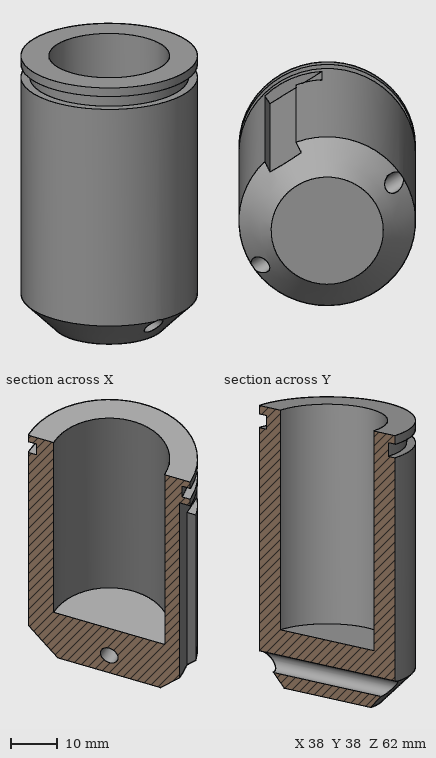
import cadquery as cq

height = 62.0
body_diameter = 38.0
bore_diameter = 26.0
groove_diameter = 34.2
rim_height = 2.0
groove_height = 3.0
cone_height = 6.95
pin_hole_diameter = 4.0
pin_hole_z = 5.1
slot_width = 8.0
slot_depth = 2.5
slot_top_offset = 7.0
slot_leg_height = 6.0

body_radius = body_diameter / 2
groove_radius = groove_diameter / 2
foot_radius = body_radius - cone_height
wall = (body_diameter - bore_diameter) / 2
bore_floor_z = cone_height + wall
groove_top_z = height - rim_height
groove_bottom_z = groove_top_z - groove_height
slot_top_z = height - slot_top_offset
slot_floor_y = body_radius - slot_depth


def turned_body():
    """Revolve the tapered body with its ring groove below the rim."""
    profile = [
        (0, 0),
        (foot_radius, 0),
        (body_radius, cone_height),
        (body_radius, groove_bottom_z),
        (groove_radius, groove_bottom_z),
        (groove_radius, groove_top_z),
        (body_radius, groove_top_z),
        (body_radius, height),
        (0, height),
    ]
    return cq.Workplane("XZ").polyline(profile).close().revolve(360, (0, 0), (0, 1))


def blind_bore():
    """Bore open at the top, with a flat floor above the taper."""
    return (
        cq.Workplane("XY", origin=(0, 0, bore_floor_z))
        .circle(bore_diameter / 2)
        .extrude(height - bore_floor_z)
    )


def pin_hole():
    """Cross hole along X through the solid foot."""
    return (
        cq.Workplane("YZ")
        .center(0, pin_hole_z)
        .circle(pin_hole_diameter / 2)
        .extrude(body_radius, both=True)
    )


def bayonet_slot():
    """L-shaped slot on the +Y side: up from the foot, then out towards -X."""
    half_width = slot_width / 2
    upright = cq.Workplane("XY").box(
        slot_width, slot_depth, slot_top_z, centered=False
    ).translate((-half_width, slot_floor_y, 0))
    leg = cq.Workplane("XY").box(
        body_radius + half_width, slot_depth, slot_leg_height, centered=False
    ).translate((-body_radius, slot_floor_y, slot_top_z - slot_leg_height))
    return upright.union(leg)


result = turned_body().cut(blind_bore()).cut(pin_hole()).cut(bayonet_slot())